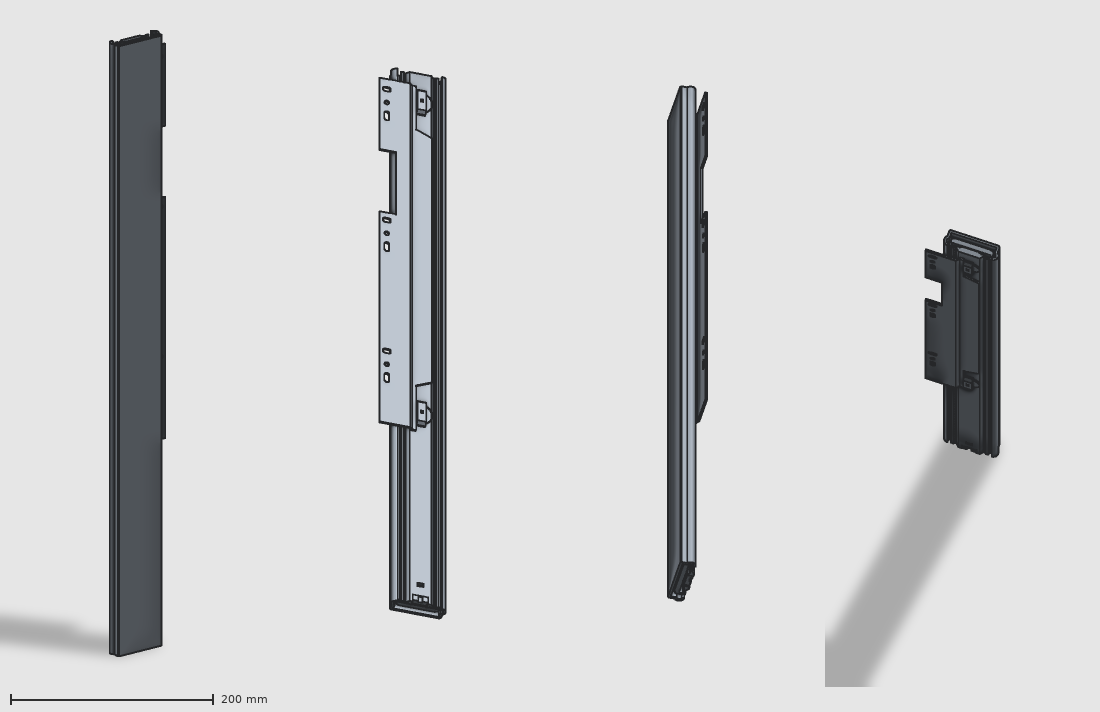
import cadquery as cq
import math


RAIL_LENGTH = 650
TOTAL_DEPTH = 23.0
TOTAL_WIDTH = 72.0
RAIL_WIDTH = 56.5
BACK_X = TOTAL_DEPTH / 2
FRONT_X = -TOTAL_DEPTH / 2
BRACKET_TOP_Y = TOTAL_WIDTH / 2
RAIL_HALF_WIDTH = RAIL_WIDTH / 2
CENTER_Y = RAIL_HALF_WIDTH - TOTAL_WIDTH / 2

WEB_THICKNESS = 2.5
WALL = 2.5
BACK_INSET = 2.0
BACK_HALF_WIDTH = RAIL_HALF_WIDTH - BACK_INSET
RACE_RADIUS = 5.0
RACE_FRONT_X = -4.9
STEP_X = 4.5
BACK_CORNER = 1.0

MIDDLE_TOP_Z = 318.5
MIDDLE_BOTTOM_Z = -322.0
MIDDLE_WEB_FRONT_X = 1.0
MIDDLE_WEB_BACK_X = 6.5
MIDDLE_BACK_HALF_WIDTH = 19.0
MIDDLE_HALF_WIDTH = 22.0
MIDDLE_ARM_INSIDE = 20.0
MIDDLE_ARM_FRONT_X = -2.5
MIDDLE_ARM_BACK_X = 4.5

INNER_TOP_Z = 322.5
INNER_BOTTOM_Z = -324.0
CROWN_FRONT_X = -6.5
CROWN_BACK_X = -0.5
CROWN_HALF_WIDTH = 11.0
CROWN_CORE_HALF_WIDTH = 8.5
VALLEY_FRONT_X = -3.0
VALLEY_HALF_WIDTH = 14.0
VALLEY_FLAT = 1.0
RIM_FRONT_X = -4.5
RIM_START = 17.0
RIM_HALF_WIDTH = 19.5
INNER_SHEET = 1.0

WINDOW_WIDTH = 6.5
WINDOW_HEIGHT = 4.0
WINDOW_Z = -301.5
NOTCH_WIDTH = 15.5
NOTCH_TOP_Z = -315.0

STOP_BOTTOM_Z = -322.0
STOP_GROOVE_WIDTH = 4.5
STOP_GROOVE_DEPTH = 2.0

BRACKET_THICKNESS = 2.0
BRACKET_TOP_Z = 305.0
BRACKET_BOTTOM_Z = -115.0
JOG_START_Y = 4.5
JOG_END_Y = 1.0
EDGE_NOTCH_Y = 19.0
EDGE_NOTCH_TOP_Z = 218.0
EDGE_NOTCH_BOTTOM_Z = 142.0
CORNER_CUT_Y = -2.5
TOP_CUT_Z = 252.0
BOTTOM_CUT_Z = -60.5
CORNER_CUT_SLOPE = 7.0

HOLE_Y = 28.5
HOLE_GROUP_Z = (292.5, 132.5, -27.0)
HOLE_PITCH = 16.0
SLOT_WIDTH = 5.0
CROSS_SLOT_LENGTH = 8.5
LONG_SLOT_LENGTH = 11.0
ROUND_HOLE_DIAMETER = 4.5

CLIP_Z = (286.5, -93.5)
CLIP_Y = -8.0
CLIP_WIDTH = 9.0
CLIP_LENGTH = 29.0
CLIP_BEVEL = 3.0
CLIP_HOLE = 2.5
CLIP_BASE_RADIUS = 12.0
CLIP_BASE_THICKNESS = 1.0


def block(x0, x1, y0, y1, z0, z1):
    """Box between two opposite corners."""
    return cq.Workplane("XY").box(x1 - x0, y1 - y0, z1 - z0, centered=False).translate((x0, y0, z0))


def outline(points):
    """Closed straight-sided outline in the XY plane."""
    return cq.Workplane("XY").polyline(points).close()


def rail(half_profile, bottom_z, top_z):
    """Extrude a closed half profile, drawn in x and distance from mid-plane, and mirror it."""
    half = half_profile.extrude(top_z - bottom_z)
    whole = half.union(half.mirror("XZ"))
    return whole.translate((0, CENTER_Y, bottom_z))


def make_outer_rail():
    """C-shaped rail whose side walls end in rounded races that curl inward at the front."""
    race_x = RACE_FRONT_X + RACE_RADIUS
    race_y = RAIL_HALF_WIDTH - RACE_RADIUS
    inside_radius = RACE_RADIUS - WALL
    wall_inside = BACK_HALF_WIDTH - WALL
    web_x = BACK_X - WEB_THICKNESS
    step_y = race_y + math.sqrt(RACE_RADIUS**2 - (STEP_X - race_x) ** 2)
    inside_end_x = race_x + math.sqrt(inside_radius**2 - (wall_inside - race_y) ** 2)
    half = (
        cq.Workplane("XY")
        .moveTo(BACK_X, 0)
        .lineTo(BACK_X, BACK_HALF_WIDTH - BACK_CORNER)
        .lineTo(BACK_X - BACK_CORNER, BACK_HALF_WIDTH)
        .lineTo(STEP_X, BACK_HALF_WIDTH)
        .lineTo(STEP_X, step_y)
        .threePointArc((race_x, RAIL_HALF_WIDTH), (RACE_FRONT_X, race_y))
        .lineTo(RACE_FRONT_X + WALL, race_y)
        .threePointArc((race_x, race_y + inside_radius), (inside_end_x, wall_inside))
        .lineTo(web_x, wall_inside)
        .lineTo(web_x, 0)
        .close()
    )
    return rail(half, -RAIL_LENGTH / 2, RAIL_LENGTH / 2)


def make_middle_rail():
    """Channel between the outer and inner rails, with arms that reach forward."""
    points = [
        (MIDDLE_WEB_FRONT_X, 0),
        (MIDDLE_WEB_FRONT_X, MIDDLE_ARM_INSIDE),
        (MIDDLE_ARM_FRONT_X, MIDDLE_ARM_INSIDE),
        (MIDDLE_ARM_FRONT_X, MIDDLE_HALF_WIDTH),
        (MIDDLE_ARM_BACK_X, MIDDLE_HALF_WIDTH),
        (MIDDLE_WEB_BACK_X, MIDDLE_BACK_HALF_WIDTH),
        (MIDDLE_WEB_BACK_X, 0),
    ]
    return rail(outline(points), MIDDLE_BOTTOM_Z, MIDDLE_TOP_Z)


def crown_notch():
    """Space at the lower end of the inner rail's crown."""
    half = NOTCH_WIDTH / 2
    return block(CROWN_FRONT_X, CROWN_BACK_X, CENTER_Y - half, CENTER_Y + half, INNER_BOTTOM_Z, NOTCH_TOP_Z)


def make_inner_rail():
    """Rail with a raised crown, a valley either side and a forward rim."""
    valley_end = VALLEY_HALF_WIDTH + VALLEY_FLAT
    points = [
        (CROWN_FRONT_X, 0),
        (CROWN_FRONT_X, CROWN_HALF_WIDTH),
        (VALLEY_FRONT_X, VALLEY_HALF_WIDTH),
        (VALLEY_FRONT_X, valley_end),
        (RIM_FRONT_X, RIM_START),
        (RIM_FRONT_X, RIM_HALF_WIDTH),
        (RIM_FRONT_X + INNER_SHEET, RIM_HALF_WIDTH),
        (RIM_FRONT_X + INNER_SHEET, RIM_START),
        (VALLEY_FRONT_X + INNER_SHEET, valley_end),
        (VALLEY_FRONT_X + INNER_SHEET, CROWN_HALF_WIDTH),
        (CROWN_BACK_X, CROWN_CORE_HALF_WIDTH),
        (CROWN_BACK_X, 0),
    ]
    half_window = WINDOW_WIDTH / 2
    window = block(
        CROWN_FRONT_X,
        CROWN_BACK_X,
        CENTER_Y - half_window,
        CENTER_Y + half_window,
        WINDOW_Z - WINDOW_HEIGHT / 2,
        WINDOW_Z + WINDOW_HEIGHT / 2,
    )
    return rail(outline(points), INNER_BOTTOM_Z, INNER_TOP_Z).cut(window).cut(crown_notch())


def make_end_stop():
    """Stop filling the crown notch, with a groove down its front."""
    half = NOTCH_WIDTH / 2
    groove_half = STOP_GROOVE_WIDTH / 2
    body = block(CROWN_FRONT_X, CROWN_BACK_X, CENTER_Y - half, CENTER_Y + half, STOP_BOTTOM_Z, NOTCH_TOP_Z)
    groove = block(
        CROWN_FRONT_X,
        CROWN_FRONT_X + STOP_GROOVE_DEPTH,
        CENTER_Y - groove_half,
        CENTER_Y + groove_half,
        STOP_BOTTOM_Z,
        NOTCH_TOP_Z,
    )
    return body.cut(groove)


def bracket_cutter():
    """Workplane at the bracket's front face, drawn in (y, z) and extruded toward +X."""
    return cq.Workplane("YZ", origin=(FRONT_X, 0, 0))


def hole_group(top_z):
    """Cross slot, round hole and upright slot in a column below top_z."""
    depth = BRACKET_THICKNESS
    cross_slot = bracket_cutter().center(HOLE_Y, top_z).slot2D(CROSS_SLOT_LENGTH, SLOT_WIDTH)
    round_hole = bracket_cutter().center(HOLE_Y, top_z - HOLE_PITCH).circle(ROUND_HOLE_DIAMETER / 2)
    long_slot_place = bracket_cutter().center(HOLE_Y, top_z - 2 * HOLE_PITCH)
    long_slot = long_slot_place.slot2D(LONG_SLOT_LENGTH, SLOT_WIDTH, 90)
    return cross_slot.extrude(depth).union(round_hole.extrude(depth)).union(long_slot.extrude(depth))


def corner_cut(end_z, cut_z, slope):
    """Cut freeing the crown for a clip, from end_z to a slanted edge that starts at cut_z."""
    edge_y = CENTER_Y - CROWN_HALF_WIDTH
    points = [(CORNER_CUT_Y, end_z), (CORNER_CUT_Y, cut_z), (edge_y, cut_z + slope), (edge_y, end_z)]
    return bracket_cutter().polyline(points).close().extrude(CROWN_FRONT_X - FRONT_X)


def make_bracket():
    """Jogged sheet: a free flange at the front, its other half lying on the inner rail."""
    low_front_x = CROWN_FRONT_X - BRACKET_THICKNESS
    low_edge_y = CENTER_Y - CROWN_HALF_WIDTH
    points = [
        (FRONT_X, BRACKET_TOP_Y),
        (FRONT_X, JOG_START_Y),
        (low_front_x, JOG_END_Y),
        (low_front_x, low_edge_y),
        (CROWN_FRONT_X, low_edge_y),
        (CROWN_FRONT_X, JOG_END_Y),
        (FRONT_X + BRACKET_THICKNESS, JOG_START_Y),
        (FRONT_X + BRACKET_THICKNESS, BRACKET_TOP_Y),
    ]
    sheet = outline(points).extrude(BRACKET_TOP_Z - BRACKET_BOTTOM_Z)
    sheet = sheet.translate((0, 0, BRACKET_BOTTOM_Z))
    edge_notch = block(
        FRONT_X, CROWN_FRONT_X, EDGE_NOTCH_Y, BRACKET_TOP_Y, EDGE_NOTCH_BOTTOM_Z, EDGE_NOTCH_TOP_Z
    )
    sheet = sheet.cut(edge_notch)
    sheet = sheet.cut(corner_cut(BRACKET_TOP_Z, TOP_CUT_Z, -CORNER_CUT_SLOPE))
    sheet = sheet.cut(corner_cut(BRACKET_BOTTOM_Z, BOTTOM_CUT_Z, CORNER_CUT_SLOPE))
    for top_z in HOLE_GROUP_Z:
        sheet = sheet.cut(hole_group(top_z))
    return sheet


def make_clip(center_z):
    """Bevelled bridge on a round base, with a square hole through its middle."""
    height = CROWN_FRONT_X - FRONT_X
    face = cq.Workplane("YZ", origin=(CROWN_FRONT_X, CLIP_Y, center_z))
    bridge = face.rect(CLIP_WIDTH, CLIP_LENGTH).extrude(-height)
    bridge = bridge.faces("<X").edges("|Y").chamfer(CLIP_BEVEL)
    base = face.circle(CLIP_BASE_RADIUS).extrude(-CLIP_BASE_THICKNESS)
    bridge_side_y = CLIP_Y + CLIP_WIDTH / 2
    crown_edge_y = CENTER_Y - CROWN_HALF_WIDTH
    keep = block(FRONT_X, CROWN_FRONT_X, crown_edge_y, bridge_side_y, BRACKET_BOTTOM_Z, BRACKET_TOP_Z)
    hole = face.rect(CLIP_HOLE, CLIP_HOLE).extrude(-height)
    return bridge.union(base.intersect(keep)).cut(hole)


outer_rail = make_outer_rail()
middle_rail = make_middle_rail()
inner_rail = make_inner_rail()
end_stop = make_end_stop()
bracket = make_bracket()
clips = [make_clip(center_z) for center_z in CLIP_Z]

result = cq.Compound.makeCompound(
    [
        outer_rail.val(),
        middle_rail.val(),
        inner_rail.val(),
        end_stop.val(),
        bracket.val(),
        *[clip.val() for clip in clips],
    ]
)